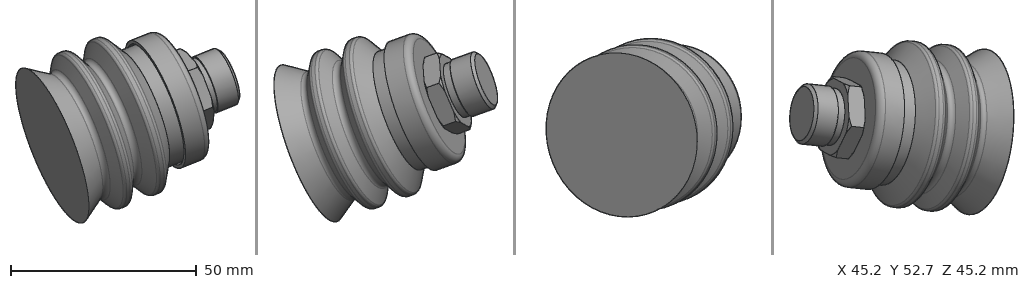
import cadquery as cq
import math

LENGTH = 52.7
COLLAR_START = 26.95
CAP_START = 30.95
NUT_START = 38.7
NUT_END = 43.6
THREAD_START = 45.75

FOLD_RADIUS = 45.2 / 2
LIP_RADIUS = 22.45
COLLAR_RADIUS = 34.0 / 2
UPPER_FOLD_Y = 21.95
LOWER_FOLD_Y = 11.8
UPPER_VALLEY_Y = 16.7
LOWER_VALLEY_Y = 6.95
UPPER_VALLEY_RADIUS = 17.7
LOWER_VALLEY_RADIUS = 18.2
UPPER_FOLD_FLAT = 1.25
LOWER_FOLD_FLAT = 1.05
FOLD_ROUNDING = 1.05
VALLEY_ROUNDING = 1.5
WALL_ANGLE = math.radians(55)

CAP_RADIUS = 37.0 / 2
CAP_ROUNDING = 2.0
RECESS_RADIUS = 35.0 / 2
RECESS_DEPTH = 2.0
NECK_RADIUS = 15.5 / 2
THREAD_RADIUS = 16.4 / 2
THREAD_CHAMFER = 0.85

NUT_ACROSS_FLATS = 20.0
NUT_TURN = 23.5
NUT_END_RADIUS = 10.45
NUT_CHAMFER_HEIGHT = 0.65


def add_fold(profile, middle, flat):
    """Outer crest: a short cylinder with a rounded shoulder on either side."""
    center_radius = FOLD_RADIUS - FOLD_ROUNDING

    def shoulder(angle, side):
        radius = center_radius + FOLD_ROUNDING * math.cos(angle)
        return radius, middle + side * (flat / 2 + FOLD_ROUNDING * math.sin(angle))

    return (
        profile.lineTo(*shoulder(WALL_ANGLE, -1))
        .threePointArc(shoulder(WALL_ANGLE / 2, -1), shoulder(0, -1))
        .lineTo(*shoulder(0, 1))
        .threePointArc(shoulder(WALL_ANGLE / 2, 1), shoulder(WALL_ANGLE, 1))
    )


def add_valley(profile, middle, bottom_radius, start_angle):
    """Rounded groove whose first wall leaves at start_angle from the Y axis."""

    def groove(angle):
        radius = bottom_radius + VALLEY_ROUNDING * (1 - math.cos(angle))
        return radius, middle + VALLEY_ROUNDING * math.sin(angle)

    return profile.lineTo(*groove(-start_angle)).threePointArc(groove(0), groove(WALL_ANGLE))


def make_bellows():
    collar_end = CAP_START + RECESS_DEPTH
    rise = LIP_RADIUS - LOWER_VALLEY_RADIUS - VALLEY_ROUNDING
    distance = math.hypot(rise, LOWER_VALLEY_Y)
    lip_angle = math.atan2(rise, LOWER_VALLEY_Y) + math.asin(VALLEY_ROUNDING / distance)
    profile = cq.Workplane("XY").lineTo(LIP_RADIUS, 0)
    profile = add_valley(profile, LOWER_VALLEY_Y, LOWER_VALLEY_RADIUS, lip_angle)
    profile = add_fold(profile, LOWER_FOLD_Y, LOWER_FOLD_FLAT)
    profile = add_valley(profile, UPPER_VALLEY_Y, UPPER_VALLEY_RADIUS, WALL_ANGLE)
    profile = add_fold(profile, UPPER_FOLD_Y, UPPER_FOLD_FLAT)
    profile = (
        profile.lineTo(COLLAR_RADIUS, COLLAR_START)
        .lineTo(COLLAR_RADIUS, collar_end)
        .lineTo(0, collar_end)
        .close()
    )
    return profile.revolve(360, (0, 0, 0), (0, 1, 0))


def cylinder(radius, start, end):
    """Cylinder along Y between two stations."""
    plane = cq.Plane(origin=(0, start, 0), xDir=(1, 0, 0), normal=(0, 1, 0))
    return cq.Workplane(plane).circle(radius).extrude(end - start)


def make_cap():
    cap = cylinder(CAP_RADIUS, CAP_START, NUT_START).faces(">Y").edges().fillet(CAP_ROUNDING)
    return cap.cut(cylinder(RECESS_RADIUS, CAP_START, CAP_START + RECESS_DEPTH))


def make_nut():
    corner_radius = NUT_ACROSS_FLATS / math.sqrt(3)
    plane = cq.Plane(origin=(0, NUT_START, 0), xDir=(1, 0, 0), normal=(0, 1, 0))
    hexagon = (
        cq.Workplane(plane)
        .polygon(6, 2 * corner_radius)
        .extrude(NUT_END - NUT_START)
        .rotate((0, 0, 0), (0, 1, 0), -NUT_TURN)
    )
    bevel = (
        cylinder(corner_radius, NUT_START, NUT_END)
        .faces("<Y or >Y")
        .edges()
        .chamfer(NUT_CHAMFER_HEIGHT, corner_radius - NUT_END_RADIUS)
    )
    return hexagon.intersect(bevel)


def make_stud():
    neck = cylinder(NECK_RADIUS, NUT_END, THREAD_START)
    thread = cylinder(THREAD_RADIUS, THREAD_START, LENGTH)
    return neck.union(thread.faces(">Y").edges().chamfer(THREAD_CHAMFER))


result = make_bellows().union(make_cap()).union(make_nut()).union(make_stud())